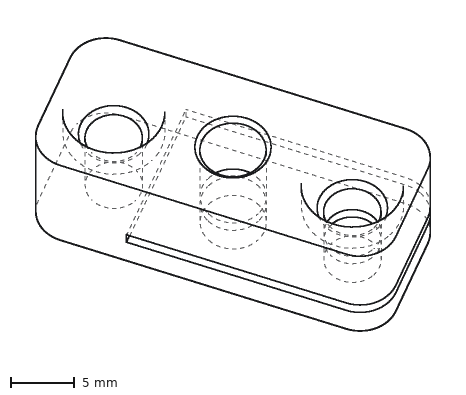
import cadquery as cq

length = 30.0
width = 13.0
height = 10.0
corner_radius = 3.0

slot_bottom = 2.5
slot_height = 1.0
slot_start = 8.55

centre_hole_diameter = 5.2
centre_hole_chamfer = 0.4

screw_spacing = 20.0
screw_hole_diameter = 4.5
screw_hole_chamfer = 0.5
counterbore_diameter = 8.0
counterbore_depth = 3.2
counterbore_fillet = 0.3


def block():
    body = cq.Workplane("XY").box(length, width, height, centered=(True, True, False))
    return body.edges("|Z").fillet(corner_radius)


def clamping_slot():
    slot = cq.Workplane("XY").box(length - slot_start, width, slot_height, centered=(False, True, False))
    return slot.translate((slot_start - length / 2, 0, slot_bottom))


def chamfered_cutter(diameter, depth, chamfer, top):
    """Downward cylinder whose top end flares out by a 45 degree chamfer."""
    radius = diameter / 2
    profile = [
        (0, top),
        (radius + chamfer, top),
        (radius, top - chamfer),
        (radius, top - depth),
        (0, top - depth),
    ]
    return cq.Workplane("XZ").polyline(profile).close().revolve(360, (0, 0), (0, 1))


def counterbore_cutter(floor):
    """Downward cylinder with a convex rounded rim at the top and a filleted floor."""
    radius = counterbore_diameter / 2
    fillet = counterbore_fillet
    profile = (
        cq.Workplane("XZ")
        .moveTo(0, height)
        .lineTo(radius + fillet, height)
        .radiusArc((radius, height - fillet), -fillet)
        .lineTo(radius, floor + fillet)
        .radiusArc((radius - fillet, floor), fillet)
        .lineTo(0, floor)
        .close()
    )
    return profile.revolve(360, (0, 0), (0, 1))


def screw_hole_cutter():
    floor = height - counterbore_depth
    hole = chamfered_cutter(screw_hole_diameter, floor, screw_hole_chamfer, floor)
    return counterbore_cutter(floor).union(hole)


result = block().cut(clamping_slot())
result = result.cut(chamfered_cutter(centre_hole_diameter, height, centre_hole_chamfer, height))
for side in (-1, 1):
    result = result.cut(screw_hole_cutter().translate((side * screw_spacing / 2, 0, 0)))